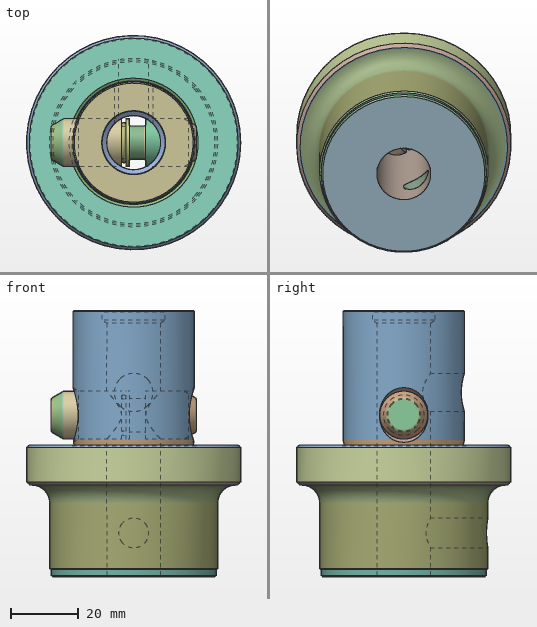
import cadquery as cq
import math

total_height = 79.0
spigot_radius = 18.0
spigot_chamfer = 0.4

flange_radius = 31.75
flange_top = 39.1
flange_bottom = 27.2
flange_top_chamfer = 0.8
flange_bottom_chamfer = 1.0

shank_radius = 25.0
shank_fillet = 5.2
shank_end_radius = 24.5
shank_end_height = 2.1
shank_step_height = 0.3
shank_end_chamfer = 0.5

relief_height = 1.35
relief_depth = 0.3
relief_inner_radius = 17.6
relief_floor_radius = 18.3
relief_outer_radius = 19.1

bore_radius = 8.0
counterbore_radius = 9.3
counterbore_depth = 2.9
counterbore_cone_height = 0.9
mouth_chamfer_width = 0.15
mouth_chamfer_height = 0.5

shank_hole_radius = 4.4
shank_hole_height = 13.0
spigot_hole_radius = 5.7
spigot_hole_height = 54.7

pin_height = 47.95
pin_radius = 7.1
pin_left = -24.5
pin_right = 18.65
pin_cone_angle = 30.0
pin_cone_length = 3.7
pin_end_fillet = 1.0
pin_shoulder_fillet = 0.95

countersink_radius = 8.1
countersink_depth = 1.7

waist_radius = 5.0
waist_left = -1.3
waist_right = 3.55
waist_fillet = 0.4

rim_margin = 0.1

ring_thickness = 1.3
ring_outer_radius = 6.0
ring_center_x = -2.9


def make_holder_blank():
    """Solid of revolution with the spigot, flange, shank and relief groove."""
    fillet_start = flange_bottom - shank_fillet
    fillet_end_radius = shank_radius + shank_fillet
    fillet_reach = shank_fillet * (1 - math.sqrt(0.5))
    fillet_mid = (shank_radius + fillet_reach, flange_bottom - fillet_reach)
    return (
        cq.Workplane("XZ")
        .moveTo(0, 0)
        .lineTo(shank_end_radius - shank_end_chamfer, 0)
        .lineTo(shank_end_radius, shank_end_chamfer)
        .lineTo(shank_end_radius, shank_end_height)
        .lineTo(shank_radius, shank_end_height + shank_step_height)
        .lineTo(shank_radius, fillet_start)
        .threePointArc(fillet_mid, (fillet_end_radius, flange_bottom))
        .lineTo(flange_radius - flange_bottom_chamfer, flange_bottom)
        .lineTo(flange_radius, flange_bottom + flange_bottom_chamfer)
        .lineTo(flange_radius, flange_top - flange_top_chamfer)
        .lineTo(flange_radius - flange_top_chamfer, flange_top)
        .lineTo(relief_outer_radius, flange_top)
        .lineTo(relief_floor_radius, flange_top - relief_depth)
        .lineTo(relief_inner_radius, flange_top - relief_depth)
        .lineTo(spigot_radius, flange_top + relief_height)
        .lineTo(spigot_radius, total_height - spigot_chamfer)
        .lineTo(spigot_radius - spigot_chamfer, total_height)
        .lineTo(0, total_height)
        .close()
        .revolve(360, (0, 0, 0), (0, 1, 0))
    )


def make_bore():
    """Through bore with a cone-bottomed counterbore and a chamfered mouth."""
    counterbore_bottom = total_height - counterbore_depth
    return (
        cq.Workplane("XZ")
        .moveTo(0, 0)
        .lineTo(bore_radius, 0)
        .lineTo(bore_radius, counterbore_bottom - counterbore_cone_height)
        .lineTo(counterbore_radius, counterbore_bottom)
        .lineTo(counterbore_radius, total_height - mouth_chamfer_height)
        .lineTo(counterbore_radius + mouth_chamfer_width, total_height)
        .lineTo(0, total_height)
        .close()
        .revolve(360, (0, 0, 0), (0, 1, 0))
    )


def make_cross_hole():
    """Hole for the pin, countersunk where it leaves the spigot on both sides."""
    cone_inner_x = spigot_radius - countersink_depth
    return (
        cq.Workplane("XZ", origin=(0, 0, pin_height))
        .moveTo(-spigot_radius, 0)
        .lineTo(-spigot_radius, countersink_radius)
        .lineTo(-cone_inner_x, pin_radius)
        .lineTo(cone_inner_x, pin_radius)
        .lineTo(spigot_radius, countersink_radius)
        .lineTo(spigot_radius, 0)
        .close()
        .revolve(360, (0, 0, 0), (1, 0, 0))
    )


def make_side_hole(hole_radius, height):
    """Radial hole from the bore axis out through the +Y side."""
    return (
        cq.Workplane("XZ", origin=(0, 0, height))
        .circle(hole_radius)
        .extrude(-flange_radius)
    )


def make_holder():
    return (
        make_holder_blank()
        .cut(make_bore())
        .cut(make_cross_hole())
        .cut(make_side_hole(shank_hole_radius, shank_hole_height))
        .cut(make_side_hole(spigot_hole_radius, spigot_hole_height))
    )


def fillet_rims(pin, positions, rim_radius, fillet_radius):
    """Round the circular pin edges of one radius at the given X positions."""
    reach = rim_radius + rim_margin
    for x in positions:
        rim = cq.selectors.BoxSelector(
            (x - rim_margin, -reach, pin_height - reach),
            (x + rim_margin, reach, pin_height + reach),
            boundingbox=True,
        )
        pin = pin.edges(rim).edges("%CIRCLE").fillet(fillet_radius)
    return pin


def make_pin():
    """Cross pin with two tapered ends, a ring groove and a narrow waist."""
    pin_end_radius = pin_radius - pin_cone_length * math.tan(math.radians(pin_cone_angle))
    groove_left = ring_center_x - ring_thickness / 2
    groove_right = ring_center_x + ring_thickness / 2
    groove_floor_radius = ring_outer_radius - ring_thickness
    left_shoulder = pin_left + pin_cone_length
    right_shoulder = pin_right - pin_cone_length
    pin = (
        cq.Workplane("XZ", origin=(0, 0, pin_height))
        .moveTo(pin_left, 0)
        .lineTo(pin_left, pin_end_radius)
        .lineTo(left_shoulder, pin_radius)
        .lineTo(groove_left, pin_radius)
        .lineTo(groove_left, groove_floor_radius)
        .lineTo(groove_right, groove_floor_radius)
        .lineTo(groove_right, pin_radius)
        .lineTo(waist_left, pin_radius)
        .lineTo(waist_left, waist_radius)
        .lineTo(waist_right, waist_radius)
        .lineTo(waist_right, pin_radius)
        .lineTo(right_shoulder, pin_radius)
        .lineTo(pin_right, pin_end_radius)
        .lineTo(pin_right, 0)
        .close()
        .revolve(360, (0, 0, 0), (1, 0, 0))
    )
    pin = fillet_rims(pin, [pin_left, pin_right], pin_end_radius, pin_end_fillet)
    pin = fillet_rims(pin, [left_shoulder, right_shoulder], pin_radius, pin_shoulder_fillet)
    return fillet_rims(pin, [waist_left, waist_right], waist_radius, waist_fillet)


def make_sealing_ring():
    """Torus about the pin axis, resting on the floor and walls of its groove."""
    return cq.Workplane(
        cq.Solid.makeTorus(
            ring_outer_radius - ring_thickness / 2,
            ring_thickness / 2,
            cq.Vector(ring_center_x, 0, pin_height),
            cq.Vector(1, 0, 0),
        )
    )


holder = make_holder()
pin = make_pin()
sealing_ring = make_sealing_ring()

result = cq.Compound.makeCompound([holder.val(), pin.val(), sealing_ring.val()])